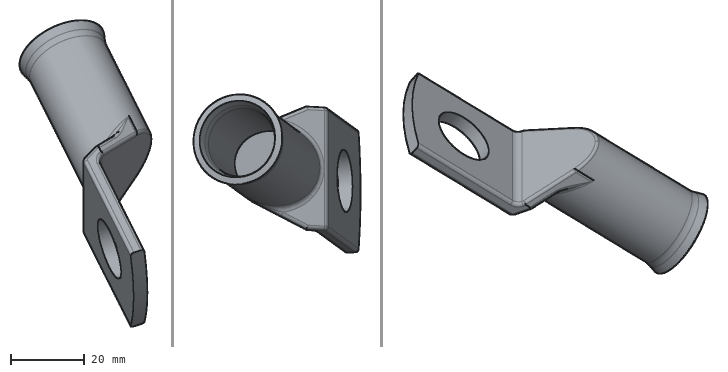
import cadquery as cq
import math

length = 85.0
palm_width = 34.0
palm_front = -13.2
palm_thickness = 4.1
palm_back = palm_front + palm_thickness

tube_radius = 11.5
wall = 1.95
mouth_radius = 12.5
flare_angle = math.radians(15)
flare_end = 5.2
flare_bend_radius = 7.9

web_angle = math.radians(60)
web_front_x = 47.9
web_back_x = 49.4
tangent_angle = math.radians(27.8)
bend_outer_radius = 1.6
bend_inner_radius = 2.55
web_fillet = 1.7
trim_clearance = 0.02
blend_top = 5.95
edge_round = 1.0
rim_start_x = 34.0
rim_end_x = 82.45

hole_x = 67.4
hole_diameter = 17.0
end_radius = 61.9


def slope_x(corner_x, corner_y, y):
    """X at height y on the sloping plane that passes through a bend corner."""
    return corner_x - (y - corner_y) / math.tan(web_angle)


def extrude_z(points):
    """Prism across the full palm width, from an outline in X and Y."""
    return cq.Workplane("XY").polyline(points).close().extrude(palm_width / 2, both=True)


def before_slope(corner_x, corner_y):
    """Everything on the mouth side of a sloping plane."""
    reach = palm_width
    return extrude_z([
        (-reach, -reach),
        (slope_x(corner_x, corner_y, -reach), -reach),
        (slope_x(corner_x, corner_y, reach), reach),
        (-reach, reach),
    ])


def flare_point(bend_radius, angle):
    """Point on a flare bend; inner and outer bends share one centre."""
    centre_r = tube_radius + flare_bend_radius
    return (flare_end - bend_radius * math.sin(angle), centre_r - bend_radius * math.cos(angle))


def revolved(bend_radius, mouth, tube_end_x):
    """Solid of revolution about X: straight flare, tangent bend, then straight tube."""
    start = flare_point(bend_radius, flare_angle)
    middle = flare_point(bend_radius, flare_angle / 2)
    end = flare_point(bend_radius, 0)
    return (
        cq.Workplane("XY").moveTo(mouth[0], 0).lineTo(*mouth).lineTo(*start)
        .threePointArc(middle, end).lineTo(tube_end_x, end[1]).lineTo(tube_end_x, 0)
        .close().revolve(360, (0, 0, 0), (1, 0, 0))
    )


def make_sheet():
    """Bent web and palm before trimming, with the web ending just above the tangent lines."""
    sheet = extrude_z([
        (web_front_x, palm_front),
        (length, palm_front),
        (length, palm_back),
        (web_back_x, palm_back),
        (slope_x(web_back_x, palm_back, blend_top), blend_top),
        (slope_x(web_front_x, palm_front, blend_top), blend_top),
    ])
    sheet = sheet.edges(along_z_at(web_front_x, palm_front)).fillet(bend_outer_radius)
    return sheet.edges(along_z_at(web_back_x, palm_back)).fillet(bend_inner_radius)


def make_outline():
    """Allowed region for web and palm: web sides tangent to the tube, palm end arced."""
    radius = tube_radius + trim_clearance
    tangent_y = radius * math.sin(tangent_angle)
    tangent_z = radius * math.cos(tangent_angle)
    half = palm_width / 2
    shoulder_y = tangent_y - (half - tangent_z) / math.tan(tangent_angle)
    outline = (
        cq.Workplane("YZ").moveTo(palm_front, -half).lineTo(shoulder_y, -half)
        .lineTo(tangent_y, -tangent_z)
        .threePointArc((radius, 0), (tangent_y, tangent_z))
        .lineTo(shoulder_y, half).lineTo(palm_front, half)
        .close().extrude(length)
    )
    end_disc = (
        cq.Workplane("XZ").center(length - end_radius, 0).circle(end_radius)
        .extrude(palm_width, both=True)
    )
    return outline.intersect(end_disc)


def along_z_at(x, y):
    """Selector for the bend edge running along Z at a corner."""
    margin = 0.1
    return cq.selectors.BoxSelector(
        (x - margin, y - margin, -palm_width), (x + margin, y + margin, palm_width)
    )


def is_rounded_edge(edge):
    """Front and back rims of web and palm, leaving the palm end and the tube blend sharp."""
    tolerance = 0.01
    box = edge.BoundingBox()
    middle = edge.positionAt(0.5)
    across = abs(middle.z) < tolerance
    on_tube = middle.x < rim_start_x
    on_palm_end = box.xmin > rim_end_x
    if across or on_tube or on_palm_end:
        return False
    on_back = (
        abs(middle.x - slope_x(web_back_x, palm_back, middle.y)) < tolerance
        or abs(middle.y - palm_back) < tolerance
    )
    on_front = edge.geomType() == "LINE" and (
        abs(middle.x - slope_x(web_front_x, palm_front, middle.y)) < tolerance
        or abs(middle.y - palm_front) < tolerance
    )
    side_bend = edge.geomType() == "CIRCLE" and box.zlen < tolerance
    return on_back or on_front or side_bend


lip_setback = wall * math.sin(flare_angle)
outer_mouth = (lip_setback, mouth_radius)
inner_mouth = (0, mouth_radius - wall * math.cos(flare_angle))

tube_side = before_slope(web_back_x, palm_back)
tube = revolved(flare_bend_radius, outer_mouth, length).intersect(tube_side)
bore = revolved(flare_bend_radius + wall, inner_mouth, length).intersect(
    before_slope(web_front_x, palm_front)
)
lip_cone = (
    cq.Workplane("XY")
    .polyline([(0, 0), inner_mouth, outer_mouth, (lip_setback, 0)])
    .close().revolve(360, (0, 0, 0), (1, 0, 0))
)

lower_tube = tube.intersect(
    cq.Workplane("XZ", origin=(0, blend_top, 0)).rect(3 * length, palm_width).extrude(palm_width)
)
blended = make_sheet().union(lower_tube).edges("%ELLIPSE").edges("<X").fillet(web_fillet)
body = blended.intersect(make_outline()).union(tube).union(lip_cone)
rims = [edge for edge in body.edges().vals() if is_rounded_edge(edge)]
body = body.newObject(rims).fillet(edge_round)

hole = (
    cq.Workplane("XZ").center(hole_x, 0).circle(hole_diameter / 2)
    .extrude(palm_width, both=True)
)
result = body.cut(bore).cut(hole)